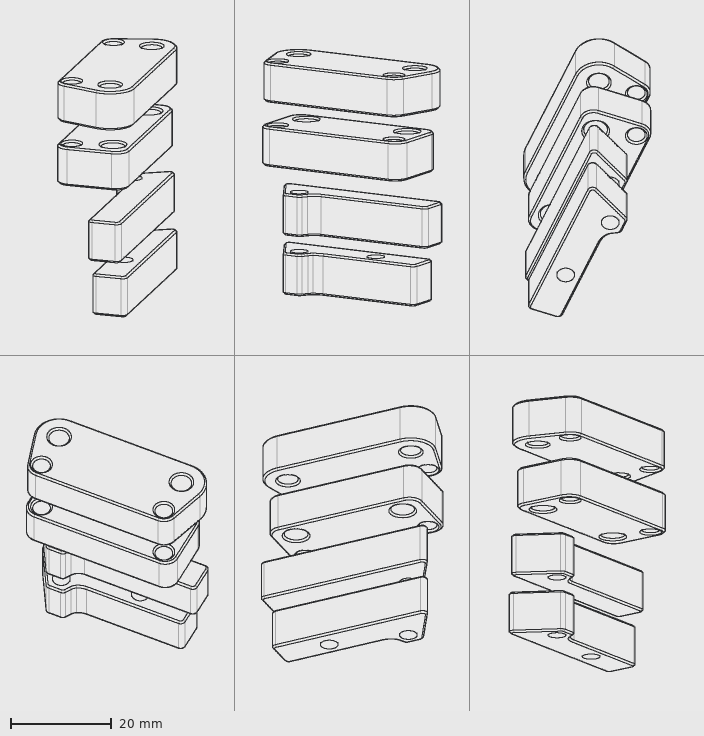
import cadquery as cq
import math

PLATE_HEIGHT = 8.0
FINGER_HEIGHT = 8.4
TOTAL_HEIGHT = 47.6
COVER_BASE = TOTAL_HEIGHT - PLATE_HEIGHT
SPACER_BASE = 26.6
LONG_FINGER_BASE = 12.0
SHORT_FINGER_BASE = 0

EDGE_CHAMFER = 0.4

BOLT_HOLE = 3.5
COVER_PIN_HOLE = 4.1
SPACER_PIN_HOLE = 4.7
BOLT_RADIUS = 2.75
BOLT_X = BOLT_RADIUS
HOLE_SPACING_Y = 27.0
HOLE_Y = HOLE_SPACING_Y / 2
PIN_OFFSET = 8.0
PIN_X = BOLT_X + PIN_OFFSET
SPACER_PIN_Y = 11.7

COVER_PIN_RADIUS = 5.0

SPACER_WIDTH = 14.8
SPACER_LENGTH = 33.08

HEAD_LEFT = 4.5
HEAD_Y = 11.4
HEAD_SLOPE = math.radians(30)
HEAD_FLAT = 2.6
CORNER_RADIUS = 1.0
ARM_LEFT = 7.45
FINGER_HOLE = 3.5
HEAD_HOLE_X = 7.5
ARM_HOLE_Y = -4.43

LONG_FINGER_RIGHT = 14.25
LONG_FINGER_END = -18.1
LONG_NECK_RADIUS = 2.65

SHORT_FINGER_RIGHT = 14.65
SHORT_FINGER_END = -15.4
SHORT_NECK_RADII = (2.15, 3.9)
SHORT_NECK_ANGLE = math.radians(60)


def drill(body, base, height, diameter, points):
    """Cut plain through holes."""
    holes = cq.Workplane("XY", origin=(0, 0, base)).pushPoints(points)
    return body.cut(holes.circle(diameter / 2).extrude(height))


def drill_chamfered(body, base, diameter, points):
    """Cut through holes with a small chamfer at both plate faces."""
    top = base + PLATE_HEIGHT
    body = drill(body, base, PLATE_HEIGHT, diameter, points)
    for x, y in points:
        for level, direction in ((top, -1), (base, 1)):
            cone = cq.Solid.makeCone(
                diameter / 2 + EDGE_CHAMFER,
                diameter / 2,
                EDGE_CHAMFER,
                pnt=cq.Vector(x, y, level),
                dir=cq.Vector(0, 0, direction),
            )
            body = body.cut(cq.Workplane(cone))
    return body


def mirror(point):
    """Reflect a point across the X axis."""
    return (point[0], -point[1])


def mirrored_points(x, y):
    return [(x, y), mirror((x, y))]


def on_circle(center, radius, angle):
    return (center[0] + radius * math.cos(angle), center[1] + radius * math.sin(angle))


def make_cover():
    """Top plate: the outline wraps round circles at the bolt and pin holes."""
    taper = math.asin((COVER_PIN_RADIUS - BOLT_RADIUS) / (PIN_X - BOLT_X))
    normal = math.pi / 2 + taper
    right = PIN_X + COVER_PIN_RADIUS
    bolt = (BOLT_X, HOLE_Y)
    pin = (PIN_X, HOLE_Y)
    bolt_end = on_circle(bolt, BOLT_RADIUS, normal)
    bolt_mid = on_circle(bolt, BOLT_RADIUS, (normal + math.pi) / 2)
    pin_end = on_circle(pin, COVER_PIN_RADIUS, normal)
    pin_mid = on_circle(pin, COVER_PIN_RADIUS, normal / 2)

    cover = (
        cq.Workplane("XY", origin=(0, 0, COVER_BASE))
        .moveTo(0, -HOLE_Y)
        .lineTo(0, HOLE_Y)
        .threePointArc(bolt_mid, bolt_end)
        .lineTo(*pin_end)
        .threePointArc(pin_mid, (right, HOLE_Y))
        .lineTo(right, -HOLE_Y)
        .threePointArc(mirror(pin_mid), mirror(pin_end))
        .lineTo(*mirror(bolt_end))
        .threePointArc(mirror(bolt_mid), (0, -HOLE_Y))
        .close()
        .extrude(PLATE_HEIGHT)
        .faces("<Z or >Z")
        .chamfer(EDGE_CHAMFER)
    )
    cover = drill_chamfered(cover, COVER_BASE, BOLT_HOLE, mirrored_points(BOLT_X, HOLE_Y))
    return drill_chamfered(cover, COVER_BASE, COVER_PIN_HOLE, mirrored_points(PIN_X, HOLE_Y))


def make_spacer():
    """Second plate: a rounded rectangle whose pin holes sit closer together."""
    spacer = (
        cq.Workplane("XY", origin=(SPACER_WIDTH / 2, 0, SPACER_BASE))
        .rect(SPACER_WIDTH, SPACER_LENGTH)
        .extrude(PLATE_HEIGHT)
        .edges("|Z")
        .fillet(BOLT_RADIUS)
        .faces("<Z or >Z")
        .chamfer(EDGE_CHAMFER)
    )
    spacer = drill_chamfered(spacer, SPACER_BASE, BOLT_HOLE, mirrored_points(BOLT_X, HOLE_Y))
    return drill_chamfered(spacer, SPACER_BASE, SPACER_PIN_HOLE, mirrored_points(PIN_X, SPACER_PIN_Y))


def make_finger(base, right, end, neck_arcs, hole_points):
    """Finger outline; neck_arcs lists (radius, direction at the start, direction at the end)
    of each concave arc from the arm up to the head, directions measured from X."""
    slope = math.tan(HEAD_SLOPE)

    corner_offset = HEAD_FLAT / 2 + CORNER_RADIUS * math.tan((math.pi / 2 - HEAD_SLOPE) / 2)
    upper_corner = (HEAD_LEFT, HEAD_Y + corner_offset)
    lower_corner = (HEAD_LEFT, HEAD_Y - corner_offset)
    tip = (right, upper_corner[1] + slope * (right - HEAD_LEFT))

    neck_width = sum(r * (math.sin(a) - math.sin(b)) for r, a, b in neck_arcs)
    neck_height = sum(r * (math.cos(b) - math.cos(a)) for r, a, b in neck_arcs)
    flank_end_x = ARM_LEFT - neck_width
    neck_start_y = lower_corner[1] - slope * (flank_end_x - HEAD_LEFT) - neck_height

    outline = (
        cq.Workplane("XY", origin=(0, 0, base))
        .moveTo(right, end)
        .lineTo(ARM_LEFT, end)
        .lineTo(ARM_LEFT, neck_start_y)
    )
    x, y = ARM_LEFT, neck_start_y
    for radius, start, finish in neck_arcs:
        center = (x - radius * math.sin(start), y - radius * math.cos(start))
        middle = on_circle(center, radius, math.pi / 2 - (start + finish) / 2)
        x, y = on_circle(center, radius, math.pi / 2 - finish)
        outline = outline.threePointArc(middle, (x, y))
    blank = (
        outline.lineTo(*lower_corner)
        .lineTo(*upper_corner)
        .lineTo(*tip)
        .close()
        .extrude(FINGER_HEIGHT)
    )

    for corner in ((right, end), (ARM_LEFT, end), lower_corner, upper_corner, tip):
        nearest = cq.selectors.NearestToPointSelector((*corner, base + FINGER_HEIGHT / 2))
        blank = blank.edges("|Z").edges(nearest).fillet(CORNER_RADIUS)
    finger = blank.faces("<Z or >Z").chamfer(EDGE_CHAMFER)
    return drill(finger, base, FINGER_HEIGHT, FINGER_HOLE, hole_points)


def make_long_finger():
    neck = [(LONG_NECK_RADIUS, math.pi / 2, HEAD_SLOPE)]
    holes = [(HEAD_HOLE_X, HEAD_Y)]
    return make_finger(LONG_FINGER_BASE, LONG_FINGER_RIGHT, LONG_FINGER_END, neck, holes)


def make_short_finger():
    head_radius, arm_radius = SHORT_NECK_RADII
    neck = [
        (arm_radius, math.pi / 2, SHORT_NECK_ANGLE),
        (head_radius, SHORT_NECK_ANGLE, HEAD_SLOPE),
    ]
    holes = [(HEAD_HOLE_X, HEAD_Y), (PIN_X, ARM_HOLE_Y)]
    return make_finger(SHORT_FINGER_BASE, SHORT_FINGER_RIGHT, SHORT_FINGER_END, neck, holes)


cover = make_cover()
spacer = make_spacer()
long_finger = make_long_finger()
short_finger = make_short_finger()

result = cq.Compound.makeCompound(
    [cover.val(), spacer.val(), long_finger.val(), short_finger.val()]
)